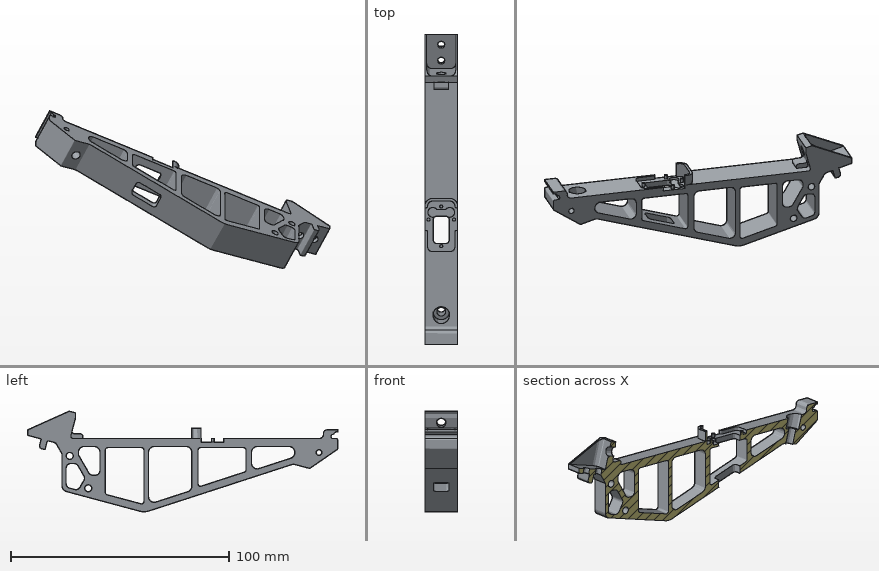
import cadquery as cq
import math


WIDTH = 15.0
LENGTH = 142.18
TILT = 15.0
TAN_TILT = math.tan(math.radians(TILT))
COS_TILT = math.cos(math.radians(TILT))
SIN_TILT = math.sin(math.radians(TILT))

OVERCUT = 1.0

KEEL_Y = 88.65
KEEL_Z = -34.01
KEEL_RADIUS = 7.0
FRONT_CHORD_SLOPE = math.tan(math.radians(18))
REAR_Y = 126.5
REAR_CORNER_RADIUS = 3.0

HEEL_Y = 12.9
HEEL_Z = -13.85
HEEL_VALLEY_RADIUS = 3.0
NOSE_Z = -4.95
NOSE_RADIUS = 1.0
NOSE_TOP_RADIUS = 0.9
LIP_TOP_Z = 3.95
LIP_TIP_Z = 2.95
LIP_WALL_Y = 6.65
LIP_RADIUS = 1.75
SLOT_BACK_Y = 2.7
SLOT_HEIGHT = 1.75
SLOT_CEILING_LENGTH = 0.5
SLOT_HOLLOW_DEPTH = 0.35

PLATE_THICKNESS = 2.5
PLATE_REAR_Z = 1.34
PEAK_Y = 123.1
PEAK_Z = 12.5
BROW_Y = 120.2
HEAD_FOOT_Y = 122.7
HEAD_FOOT_RADIUS = 1.0
NECK_TOP_Z = -7.05
NECK_SLOPE = math.tan(math.radians(60))
NECK_RADIUS = 2.0
CHEEK_THICKNESS = 0.85
HEAD_POCKET_RADIUS = 2.4
HOOK_REAR_Y = 136.0
HOOK_THICKNESS = 3.0
HOOK_HEIGHT = 4.3
HOOK_TIP_RADIUS = 1.5
SMALL_RADIUS = 0.5

TAB_WIDTH = 6.5
TAB_END_Y = 116.4
TAB_HEIGHT = 2.2
TAB_RADIUS = 1.4

ROOMY_RADIUS = 2.5
ROOMY_TOP_Z = -3.8
ROOMY_FLOOR = 3.0
TIGHT_RADIUS = 1.0
TIGHT_TOP_Z = -4.3
TIGHT_FLOOR = 3.5
TIGHT_BAYS = [(88.95, 106.5), (42.15, 64.0)]
ROOMY_BAYS = [(67.0, 86.7), (19.8, 39.5)]
REAR_BAY_RADIUS = 2.0
REAR_BAY_WALL = 2.0
REAR_BAY_TOP_Z = -11.6
REAR_BAY_TIP = (115.85, -18.25)
UPPER_BAY_FRONT_Y = 109.1
UPPER_BAY_REAR_Y = 118.85
UPPER_BAY_KNEE_Z = -7.6
UPPER_BAY_KNEE_RADIUS = 1.0
UPPER_BAY_BOTTOM_Z = -16.85

CROSS_HOLES = [(122.9, -8.05, 3.1), (114.4, -22.9, 3.1), (8.63, -6.5, 2.5)]

PLATE_HOLE_DIAMETER = 3.2
PLATE_HOLES_Y = [137.4, 130.1]
WALL_HOLE_DIAMETER = 4.2
WALL_HOLE_Z = 7.1
SCREW_Y = 13.5
SCREW_DIAMETER = 4.0
SCREW_HEAD_DIAMETER = 7.5
SCREW_HEAD_DEPTH = 6.0

SEAT_DEPTH = 1.7
SEAT_FRONT_Y = 42.6
SEAT_REAR_Y = 65.75
SEAT_WIDTH = 12.5
SEAT_RADIUS = 2.25
SEAT_OPENING_Y = (52.4, 62.65)
OPENING_RADIUS = 0.8
GUARD_HEIGHT = 4.7
GUARD_THICKNESS = (WIDTH - SEAT_WIDTH) / 2
PIN_DIAMETER = 1.4
PIN_SPOTS = [(-5.85, 57.3), (5.85, 57.3), (0, 63.3), (0, 45.1)]
RELIEF_DEPTH = 1.2
RELIEF_LOBE_X = 3.85
RELIEF_LOBE_Y = 60.6
RELIEF_LOBE_DIAMETER = 4.5
RELIEF_WAIST_Y = 61.9
WINDOW_WIDTH = 7.2
WINDOW_Y = (46.4, 58.8)
WINDOW_RADIUS = 1.5


def rounded_prism(corners, width):
    """Extrude a polygon in the YZ plane, centred on X = 0, with each corner rounded."""
    ends = []
    for index, (y, z, radius) in enumerate(corners):
        corner = cq.Vector(y, z)
        before = (cq.Vector(*corners[index - 1][:2]) - corner).normalized()
        after = (cq.Vector(*corners[(index + 1) % len(corners)][:2]) - corner).normalized()
        half_angle = before.getAngle(after) / 2
        setback = radius / math.tan(half_angle)
        bisector = (before + after).normalized()
        middle = corner + bisector * (radius / math.sin(half_angle) - radius)
        ends.append((corner + before * setback, middle, corner + after * setback, radius))
    outline = cq.Workplane("YZ").moveTo(ends[0][2].x, ends[0][2].y)
    for start, middle, end, radius in ends[1:] + ends[:1]:
        outline = outline.lineTo(start.x, start.y)
        if radius > 0:
            outline = outline.threePointArc((middle.x, middle.y), (end.x, end.y))
    return outline.close().extrude(width / 2, both=True)


def crossing(point_a, slope_a, point_b, slope_b):
    """Where two sloping lines in the YZ plane meet."""
    y = (point_b[1] - point_a[1] + slope_a * point_a[0] - slope_b * point_b[0]) / (slope_a - slope_b)
    return y, point_a[1] + slope_a * (y - point_a[0])


def chord_z(y, inset=0.0):
    """Height of the underside chords at y, moved square into the body by the inset."""
    slope = TAN_TILT if y > KEEL_Y else -FRONT_CHORD_SLOPE
    return KEEL_Z + slope * (y - KEEL_Y) + inset * math.hypot(1, slope)


def plate_bottom_z(y):
    return PLATE_REAR_Z - TAN_TILT * (LENGTH - y)


def plate_top_z(y):
    return plate_bottom_z(y) + PLATE_THICKNESS / COS_TILT


def hook_corner(along, drop):
    """A point of the hook, measured along the plate underside toward the front and square to it."""
    y = HOOK_REAR_Y - along * COS_TILT + drop * SIN_TILT
    z = plate_bottom_z(HOOK_REAR_Y) - along * SIN_TILT - drop * COS_TILT
    return y, z


def tilted_cylinder(diameter, length, start, direction):
    return cq.Workplane(
        cq.Solid.makeCylinder(diameter / 2, length, cq.Vector(0, *start), cq.Vector(0, *direction))
    )


def rounded_box(width, y_range, z_range, radius):
    """A box centred on X = 0 with rounded upright edges."""
    length = y_range[1] - y_range[0]
    height = z_range[1] - z_range[0]
    box = cq.Workplane("XY").box(width, length, height)
    box = box.edges("|Z").fillet(radius)
    return box.translate((0, sum(y_range) / 2, sum(z_range) / 2))


def make_body():
    valley = crossing((KEEL_Y, KEEL_Z), -FRONT_CHORD_SLOPE, (HEEL_Y, HEEL_Z), TAN_TILT)
    neck = crossing((REAR_Y, NECK_TOP_Z), NECK_SLOPE, (LENGTH, PLATE_REAR_Z), TAN_TILT)
    brow_bottom_z = (HEAD_FOOT_Y - BROW_Y) / TAN_TILT
    lip_chamfer = LIP_TIP_Z - SLOT_HEIGHT
    return rounded_prism(
        [
            (0, NOSE_Z, NOSE_RADIUS),
            (0, 0, NOSE_TOP_RADIUS),
            (SLOT_BACK_Y, 0, 0),
            (SLOT_BACK_Y, SLOT_HEIGHT, 0),
            (SLOT_BACK_Y - SLOT_CEILING_LENGTH, SLOT_HEIGHT, 0),
            (SLOT_BACK_Y - SLOT_CEILING_LENGTH - lip_chamfer, LIP_TIP_Z, 0),
            (0, LIP_TIP_Z, 0),
            (0, LIP_TOP_Z, 0),
            (LIP_WALL_Y, LIP_TOP_Z, LIP_RADIUS),
            (LIP_WALL_Y, 0, LIP_RADIUS),
            (HEAD_FOOT_Y, 0, HEAD_FOOT_RADIUS),
            (BROW_Y, brow_bottom_z, 0),
            (BROW_Y, PEAK_Z - TAN_TILT * (PEAK_Y - BROW_Y), 0),
            (PEAK_Y, PEAK_Z, 0),
            (LENGTH, plate_top_z(LENGTH), 0),
            (LENGTH, PLATE_REAR_Z, SMALL_RADIUS),
            (*hook_corner(0, 0), 0),
            (*hook_corner(0, HOOK_HEIGHT), HOOK_TIP_RADIUS),
            (*hook_corner(HOOK_THICKNESS, HOOK_HEIGHT), SMALL_RADIUS),
            (*hook_corner(HOOK_THICKNESS, 0), SMALL_RADIUS),
            (*neck, NECK_RADIUS),
            (REAR_Y, NECK_TOP_Z, 0),
            (REAR_Y, chord_z(REAR_Y), REAR_CORNER_RADIUS),
            (KEEL_Y, KEEL_Z, KEEL_RADIUS),
            (*valley, HEEL_VALLEY_RADIUS),
            (HEEL_Y, HEEL_Z, SMALL_RADIUS),
        ],
        WIDTH,
    )


def make_slot_hollow():
    """Shallow round hollow along the back of the clip slot."""
    return (
        cq.Workplane("YZ")
        .moveTo(SLOT_BACK_Y, 0)
        .threePointArc(
            (SLOT_BACK_Y + SLOT_HOLLOW_DEPTH, SLOT_HEIGHT / 2),
            (SLOT_BACK_Y, SLOT_HEIGHT),
        )
        .close()
        .extrude(WIDTH / 2, both=True)
    )


def make_bay(y_front, y_rear, top_z, floor, radius):
    return rounded_prism(
        [
            (y_front, top_z, radius),
            (y_rear, top_z, radius),
            (y_rear, chord_z(y_rear, floor), radius),
            (y_front, chord_z(y_front, floor), radius),
        ],
        WIDTH,
    )


def make_upper_bay():
    bottom_y = UPPER_BAY_REAR_Y - (UPPER_BAY_KNEE_Z - UPPER_BAY_BOTTOM_Z) / NECK_SLOPE
    return rounded_prism(
        [
            (UPPER_BAY_FRONT_Y, ROOMY_TOP_Z, ROOMY_RADIUS),
            (UPPER_BAY_REAR_Y, ROOMY_TOP_Z, ROOMY_RADIUS),
            (UPPER_BAY_REAR_Y, UPPER_BAY_KNEE_Z, UPPER_BAY_KNEE_RADIUS),
            (bottom_y, UPPER_BAY_BOTTOM_Z, REAR_BAY_RADIUS),
            (UPPER_BAY_FRONT_Y, UPPER_BAY_BOTTOM_Z, REAR_BAY_RADIUS),
        ],
        WIDTH,
    )


def make_rear_bay():
    rear_y = REAR_Y - REAR_BAY_WALL
    tip_y, tip_z = REAR_BAY_TIP
    top_y = tip_y + (REAR_BAY_TOP_Z - tip_z) / NECK_SLOPE
    floor_point = (rear_y, chord_z(rear_y, REAR_BAY_WALL))
    foot = crossing(floor_point, TAN_TILT, REAR_BAY_TIP, -NECK_SLOPE)
    corners = [(rear_y, REAR_BAY_TOP_Z), (top_y, REAR_BAY_TOP_Z), REAR_BAY_TIP, foot, floor_point]
    return rounded_prism([(y, z, REAR_BAY_RADIUS) for y, z in corners], WIDTH)


def make_head_pocket():
    """Tilted block whose bottom is the plate's upper face and whose front is the wall's rear face."""
    front_y, front_z = crossing(
        (PEAK_Y, PEAK_Z), -1 / TAN_TILT, (LENGTH, plate_top_z(LENGTH)), TAN_TILT
    )
    size = LENGTH - PEAK_Y
    pocket = cq.Workplane("XY").box(
        WIDTH - 2 * CHEEK_THICKNESS, size, size, centered=(True, False, False)
    )
    pocket = pocket.edges("|Z and <Y").fillet(HEAD_POCKET_RADIUS)
    return pocket.rotate((0, 0, 0), (1, 0, 0), TILT).translate((0, front_y, front_z))


def make_tab():
    end_foot_y = TAB_END_Y + TAB_HEIGHT * TAN_TILT
    wall_y = HEAD_FOOT_Y - TAB_HEIGHT * TAN_TILT
    root_z = TAB_HEIGHT + 2 * HEAD_FOOT_RADIUS
    root_y = HEAD_FOOT_Y - root_z * TAN_TILT
    return rounded_prism(
        [
            (end_foot_y, 0, 0),
            (TAB_END_Y, TAB_HEIGHT, TAB_RADIUS),
            (wall_y, TAB_HEIGHT, HEAD_FOOT_RADIUS),
            (root_y, root_z, 0),
            (HEAD_FOOT_Y, root_z, 0),
            (HEAD_FOOT_Y, 0, 0),
        ],
        TAB_WIDTH,
    )


def make_guard():
    outer_y = (SEAT_FRONT_Y - GUARD_THICKNESS, SEAT_REAR_Y + GUARD_THICKNESS)
    guard = rounded_box(WIDTH, outer_y, (-SEAT_DEPTH, GUARD_HEIGHT), SEAT_RADIUS + GUARD_THICKNESS)
    front_part = cq.Workplane("XY").box(WIDTH, LENGTH, 2 * GUARD_HEIGHT)
    return guard.cut(front_part.translate((0, SEAT_OPENING_Y[1] - LENGTH / 2, 0)))


def make_seat():
    """The seat recess, open to both sides, with the ends of the side openings rounded."""
    z_range = (-SEAT_DEPTH, GUARD_HEIGHT)
    recess = rounded_box(SEAT_WIDTH, (SEAT_FRONT_Y, SEAT_REAR_Y), z_range, SEAT_RADIUS)
    opening = cq.Workplane("XY").box(
        WIDTH + 2 * OVERCUT, SEAT_OPENING_Y[1] - SEAT_OPENING_Y[0], GUARD_HEIGHT + SEAT_DEPTH
    )
    opening = opening.translate((0, sum(SEAT_OPENING_Y) / 2, sum(z_range) / 2))
    recess = recess.union(opening)
    for end_y in SEAT_OPENING_Y:
        corners = cq.selectors.BoxSelector(
            (-WIDTH / 2, end_y - OPENING_RADIUS / 2, z_range[0] - OVERCUT),
            (WIDTH / 2, end_y + OPENING_RADIUS / 2, z_range[1] + OVERCUT),
        )
        recess = recess.edges("|Z").edges(corners).fillet(OPENING_RADIUS)
    return recess


def make_pins():
    return (
        cq.Workplane("XY", origin=(0, 0, -SEAT_DEPTH))
        .pushPoints(PIN_SPOTS)
        .circle(PIN_DIAMETER / 2)
        .extrude(SEAT_DEPTH)
    )


def make_relief():
    """Two round lobes joined by a narrower waist that runs into the window."""
    plane = cq.Workplane("XY", origin=(0, 0, -SEAT_DEPTH - RELIEF_DEPTH))
    lobes = plane.pushPoints([(-RELIEF_LOBE_X, RELIEF_LOBE_Y), (RELIEF_LOBE_X, RELIEF_LOBE_Y)])
    lobes = lobes.circle(RELIEF_LOBE_DIAMETER / 2).extrude(RELIEF_DEPTH)
    waist_length = RELIEF_WAIST_Y - WINDOW_Y[1]
    waist = plane.center(0, WINDOW_Y[1] + waist_length / 2)
    return lobes.union(waist.rect(2 * RELIEF_LOBE_X, waist_length).extrude(RELIEF_DEPTH))


def cut_tilted_holes(part):
    down = (SIN_TILT, -COS_TILT)
    for y in PLATE_HOLES_Y:
        part = part.cut(
            tilted_cylinder(PLATE_HOLE_DIAMETER, 2 * PLATE_THICKNESS, (y, plate_top_z(y)), down)
        )
    into_wall = (COS_TILT, SIN_TILT)
    wall_face_y = HEAD_FOOT_Y - WALL_HOLE_Z * TAN_TILT
    wall_hole_start = (wall_face_y - OVERCUT * COS_TILT, WALL_HOLE_Z - OVERCUT * SIN_TILT)
    part = part.cut(tilted_cylinder(WALL_HOLE_DIAMETER, LENGTH - PEAK_Y, wall_hole_start, into_wall))
    screw_start = (SCREW_Y - OVERCUT * SIN_TILT, OVERCUT * COS_TILT)
    part = part.cut(tilted_cylinder(SCREW_DIAMETER, 2 * WIDTH, screw_start, down))
    return part.cut(
        tilted_cylinder(SCREW_HEAD_DIAMETER, SCREW_HEAD_DEPTH + OVERCUT, screw_start, down)
    )


part = make_body().cut(make_slot_hollow()).union(make_tab()).union(make_guard())
for bay_front, bay_rear in TIGHT_BAYS:
    part = part.cut(make_bay(bay_front, bay_rear, TIGHT_TOP_Z, TIGHT_FLOOR, TIGHT_RADIUS))
for bay_front, bay_rear in ROOMY_BAYS:
    part = part.cut(make_bay(bay_front, bay_rear, ROOMY_TOP_Z, ROOMY_FLOOR, ROOMY_RADIUS))
part = part.cut(make_upper_bay()).cut(make_rear_bay()).cut(make_head_pocket())
for hole_y, hole_z, hole_diameter in CROSS_HOLES:
    part = part.cut(
        cq.Workplane("YZ").center(hole_y, hole_z).circle(hole_diameter / 2).extrude(WIDTH / 2, both=True)
    )
part = part.cut(make_seat()).union(make_pins()).cut(make_relief())
part = part.cut(rounded_box(WINDOW_WIDTH, WINDOW_Y, (KEEL_Z, 0), WINDOW_RADIUS))
result = cut_tilted_holes(part)